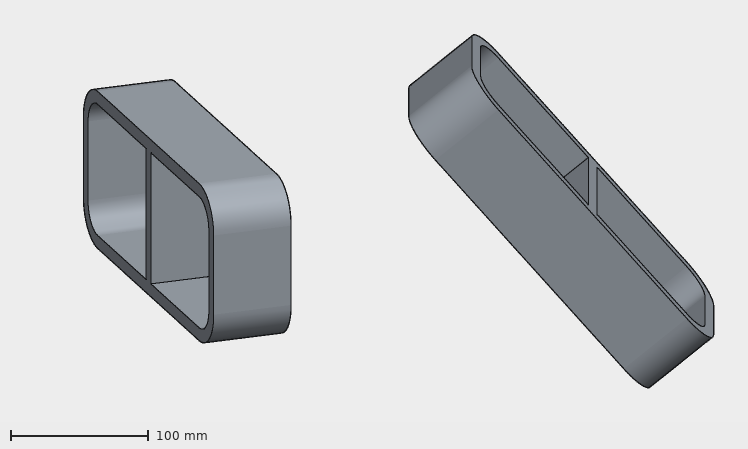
import cadquery as cq

length = 271.0
depth = 60.0
height = 121.0

wall = 10.0
divider = 10.0
outer_radius = 30.0
inner_radius = outer_radius - wall


def rounded_block(size_x, size_z, radius):
    """Centred block through the full depth, with its four Y edges rounded."""
    return cq.Workplane("XY").box(size_x, depth, size_z).edges("|Y").fillet(radius)


def make_frame():
    """Rounded rectangular ring of constant wall thickness, open along Y."""
    outside = rounded_block(length, height, outer_radius)
    opening = rounded_block(length - 2 * wall, height - 2 * wall, inner_radius)
    return outside.cut(opening)


def make_divider():
    """Upright middle web, reaching into the walls above and below."""
    return cq.Workplane("XY").box(divider, depth, height - wall)


result = make_frame().union(make_divider())